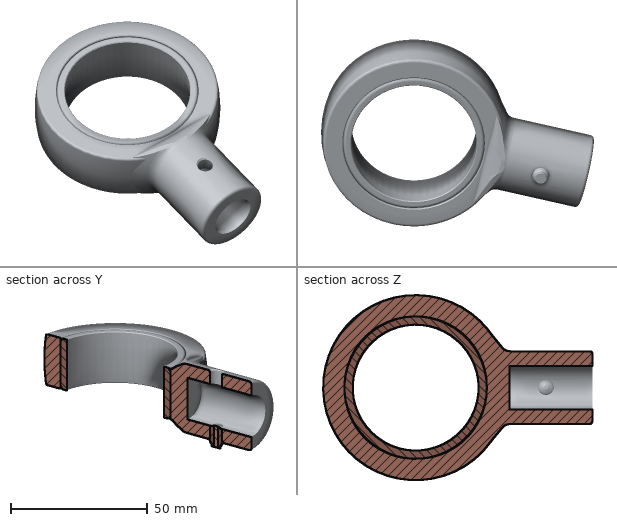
import cadquery as cq
eye_radius = 34.0
eye_rim_radius = 33.1
eye_height = 20.0
eye_rim_fillet = 1.0
half_height = eye_height / 2

shank_diameter = 27.0
shank_radius = shank_diameter / 2
shank_start = 34.5
shank_end = 98.9 - eye_radius
shank_fillet = 1.2
socket_diameter = 16.0
socket_depth = shank_end - shank_start

flare_start = 25.3
flare_start_radius = 22.6
blend_start = 31.7
blend_start_radius = 14.8
trim_clearance = 0.02
crown_start = 26.9
crown_slope = 0.6
roof_eave = 17.7
roof_ridge = 2.0

ring_diameter = 52.0
ring_bore = 46.0
ring_fillet = 1.2
small_chamfer = 0.3

nipple_x = 47.9
hole_diameter = 5.5
hole_radius = hole_diameter / 2
countersink = 0.6
tip_rim_radius = 5.2 / 2
tip_rim_z = -8.1
tip_bevel = 0.2
tip_rise = 0.6
head_radius = 3.2
head_seat_z = -shank_radius + countersink
head_bulge_z = -13.9
head_bulge_radius = 3.1
head_end_radius = 5.2 / 2
head_end_z = -14.6
collar_radius = 4.5 / 2
collar_top_z = -14.9
collar_chamfer = 0.2
nipple_protrusion = 2.5
nipple_end_z = -shank_radius - nipple_protrusion
valve_diameter = 1.5


def make_eye():
    profile = (
        cq.Workplane("XZ")
        .moveTo(0, -half_height)
        .lineTo(eye_rim_radius, -half_height)
        .threePointArc((eye_radius, 0), (eye_rim_radius, half_height))
        .lineTo(0, half_height)
        .close()
    )
    return profile.revolve(360, (0, 0), (0, 1)).faces("<Z or >Z").edges().fillet(eye_rim_fillet)


def make_flare():
    """Flare turned around X, then trimmed to a crown along X and a roof across it."""
    turned = (
        cq.Workplane("XY")
        .moveTo(flare_start, 0)
        .lineTo(flare_start, flare_start_radius)
        .lineTo(blend_start, blend_start_radius)
        .tangentArcPoint((shank_start, shank_radius), relative=False)
        .lineTo(shank_start, 0)
        .close()
        .revolve(360, (0, 0), (1, 0))
    )
    trim_top = shank_radius + trim_clearance
    crown = (
        cq.Workplane("XZ", origin=(0, eye_radius, 0))
        .moveTo(0, 0)
        .lineTo(0, half_height)
        .lineTo(crown_start, half_height)
        .spline([(shank_start, trim_top)], [(1, crown_slope), (1, 0)], includeCurrent=True)
        .lineTo(shank_end, trim_top)
        .lineTo(shank_end, 0)
        .close()
        .extrude(2 * eye_radius)
    )
    crown = crown.union(crown.mirror("XY"))
    roof_outline = [
        (eye_radius, half_height),
        (roof_eave, half_height),
        (roof_ridge, trim_top),
        (-roof_ridge, trim_top),
        (-roof_eave, half_height),
        (-eye_radius, half_height),
    ]
    mirrored_outline = [(-y, -z) for y, z in roof_outline]
    roof = cq.Workplane("YZ").polyline(roof_outline + mirrored_outline).close().extrude(shank_end)
    return turned.intersect(crown).intersect(roof)


def make_shank():
    return (
        cq.Workplane("YZ", origin=(shank_start, 0, 0))
        .circle(shank_radius)
        .extrude(shank_end - shank_start)
        .faces(">X")
        .edges()
        .fillet(shank_fillet)
    )


def make_cross_hole():
    """Hole through the shank with a countersink at both ends."""
    seat_z = shank_radius - countersink
    mouth_radius = hole_radius + countersink
    outline = [
        (0, -shank_radius),
        (mouth_radius, -shank_radius),
        (hole_radius, -seat_z),
        (hole_radius, seat_z),
        (mouth_radius, shank_radius),
        (0, shank_radius),
    ]
    tool = cq.Workplane("XZ").polyline(outline).close().revolve(360, (0, 0), (0, 1))
    return tool.translate((nipple_x, 0, 0))


def make_rod_end():
    body = make_eye().union(make_flare()).union(make_shank())
    eye_bore = cq.Workplane("XY").circle(ring_diameter / 2).extrude(half_height, both=True)
    mouth = (
        cq.Workplane("XY", origin=(0, 0, half_height))
        .circle(ring_diameter / 2 + small_chamfer)
        .workplane(offset=-small_chamfer)
        .circle(ring_diameter / 2)
        .loft()
    )
    socket = (
        cq.Workplane("YZ", origin=(shank_start, 0, 0)).circle(socket_diameter / 2).extrude(socket_depth)
    )
    body = body.cut(eye_bore).cut(mouth).cut(mouth.mirror("XY"))
    return body.cut(socket).cut(make_cross_hole())


def make_bearing_ring():
    ring = (
        cq.Workplane("XY", origin=(0, 0, -half_height))
        .circle(ring_diameter / 2)
        .extrude(eye_height)
        .edges("%CIRCLE")
        .fillet(ring_fillet)
    )
    bore = cq.Workplane("XY", origin=(0, 0, -half_height)).circle(ring_bore / 2).extrude(eye_height)
    ring = ring.cut(bore)
    return ring.faces("<Z or >Z").edges(cq.selectors.RadiusNthSelector(0)).chamfer(small_chamfer)


def make_nipple():
    profile = (
        cq.Workplane("XZ")
        .moveTo(valve_diameter / 2, tip_rim_z + tip_rise)
        .lineTo(tip_rim_radius, tip_rim_z)
        .lineTo(hole_radius, tip_rim_z - tip_bevel)
        .lineTo(hole_radius, head_seat_z)
        .lineTo(head_radius, head_seat_z - (head_radius - hole_radius))
        .threePointArc((head_bulge_radius, head_bulge_z), (head_end_radius, head_end_z))
        .lineTo(collar_radius, collar_top_z)
        .lineTo(collar_radius, nipple_end_z + collar_chamfer)
        .lineTo(collar_radius - collar_chamfer, nipple_end_z)
        .lineTo(valve_diameter / 2, nipple_end_z)
        .close()
    )
    return profile.revolve(360, (0, 0), (0, 1)).translate((nipple_x, 0, 0))


def make_valve_pin():
    """Pin that fills the bore of the nipple from end to end."""
    return (
        cq.Workplane("XY", origin=(nipple_x, 0, nipple_end_z))
        .circle(valve_diameter / 2)
        .extrude(tip_rim_z + tip_rise - nipple_end_z)
    )


rod_end = make_rod_end()
bearing_ring = make_bearing_ring()
nipple = make_nipple()
valve_pin = make_valve_pin()

result = cq.Compound.makeCompound(
    [rod_end.val(), bearing_ring.val(), nipple.val(), valve_pin.val()]
)